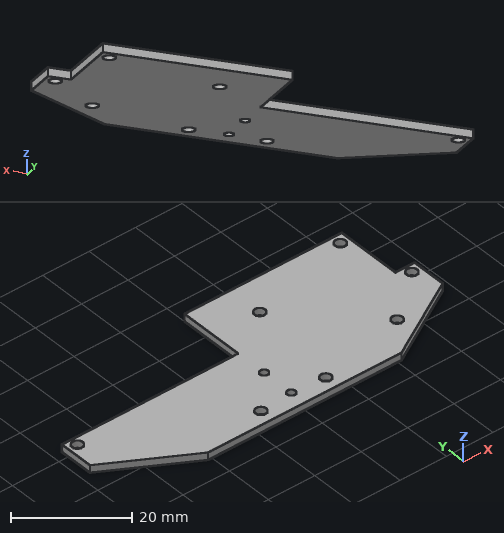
import cadquery as cq
import math

length = 76.0
depth = 31.0
thickness = 1.6
shoulder_y = 17.2
block_right = 33.9
corner_inset = 17.2
corner_angle = 30.0

mount_diameter = 2.2
center_diameter = 1.7
end_hole_x = 36.0
end_hole_y = 15.5
front_pair_x = 7.0
front_pair_y = 3.0
mount_points = [
    (-end_hole_x, end_hole_y),
    (end_hole_x, end_hole_y),
    (-front_pair_x, front_pair_y),
    (front_pair_x, front_pair_y),
    (31.9, 29.0),
    (9.9, 23.4),
    (26.0, 7.3),
]
center_points = [(0, 3.5), (0, 10.5)]

half_length = length / 2
front_half = half_length - corner_inset
corner_y = corner_inset * math.tan(math.radians(corner_angle))

outline = [
    (-front_half, 0),
    (front_half, 0),
    (half_length, corner_y),
    (half_length, shoulder_y),
    (block_right, shoulder_y),
    (block_right, depth),
    (0, depth),
    (0, shoulder_y),
    (-half_length, shoulder_y),
    (-half_length, corner_y),
]


def hole_cutters(points, diameter):
    """Cylinders through the plate thickness at the given points."""
    return cq.Workplane("XY").pushPoints(points).circle(diameter / 2).extrude(thickness)


plate = cq.Workplane("XY").polyline(outline).close().extrude(thickness)
plate = plate.cut(hole_cutters(mount_points, mount_diameter))
result = plate.cut(hole_cutters(center_points, center_diameter))